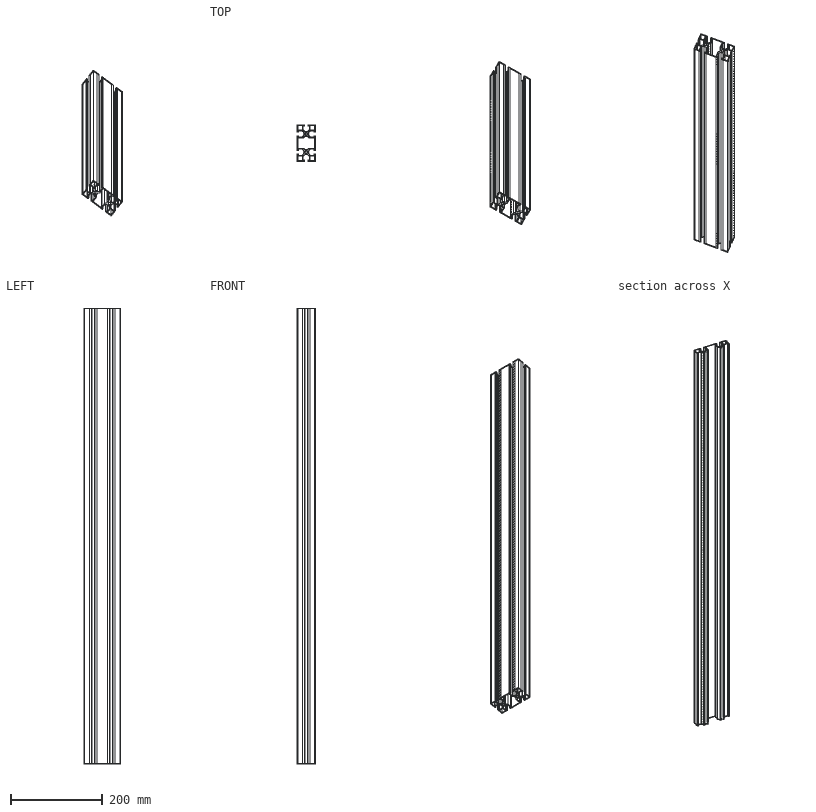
import cadquery as cq

MODULE = 40.0
LENGTH = 1000.0
WALL = 1.5
SLOT_MOUTH = 8.2
SLOT_INSIDE = 14.0
LIP = 2.8
CORE_DIAMETER = 11.0
BORE_DIAMETER = 5.0
WEB_OFFSET = 2.4
SLOT_FLOOR = 8.2

HALF = MODULE / 2
MOUTH = SLOT_MOUTH / 2
INSIDE = SLOT_INSIDE / 2
LIP_UNDERSIDE = HALF - LIP
HOLLOW_START = INSIDE + WALL
POCKET_SIZE = HALF - WALL - HOLLOW_START
POCKET_CENTER = HOLLOW_START + POCKET_SIZE / 2
CHAMBER_X = MODULE - 2 * WALL
CHAMBER_Y = 2 * (HALF - HOLLOW_START)


def valley(right_side):
    """Full-length prism that opens toward +Y from the V between two webs.

    right_side lists the outline points at positive X; the left side mirrors them.
    """
    left_side = [(-x, y) for x, y in reversed(right_side)]
    outline = [(0, WEB_OFFSET)] + right_side + left_side
    return cq.Workplane("XY").polyline(outline).close().extrude(LENGTH)


def slot():
    """T-slot opening toward +Y of a module centered on the Z axis."""
    return valley([
        (SLOT_FLOOR - WEB_OFFSET, SLOT_FLOOR),
        (INSIDE, SLOT_FLOOR),
        (INSIDE, LIP_UNDERSIDE),
        (MOUTH, LIP_UNDERSIDE),
        (MOUTH, HALF),
    ])


def chamber_recess():
    """Space between two webs that widens the middle chamber toward the core."""
    return valley([(HOLLOW_START - WEB_OFFSET, HOLLOW_START)])


def cylinder(diameter):
    """Full-length cylinder on the Z axis."""
    return cq.Workplane("XY").circle(diameter / 2).extrude(LENGTH)


def corner_pockets():
    """Square hollows in the two +Y corners of a module."""
    centers = [(side * POCKET_CENTER, POCKET_CENTER) for side in (-1, 1)]
    return (
        cq.Workplane("XY")
        .pushPoints(centers)
        .rect(POCKET_SIZE, POCKET_SIZE)
        .extrude(LENGTH)
    )


def module_voids():
    """All hollows of the +Y module, moved to its place in the bar."""
    z_axis = ((0, 0, 0), (0, 0, 1))
    voids = slot()
    for angle in (90, -90):
        voids = voids.union(slot().rotate(*z_axis, angle))
    voids = voids.union(chamber_recess().rotate(*z_axis, 180))
    voids = voids.cut(cylinder(CORE_DIAMETER))
    voids = voids.union(cylinder(BORE_DIAMETER))
    voids = voids.union(corner_pockets())
    return voids.translate((0, HALF, 0))


bar = cq.Workplane("XY").rect(MODULE, 2 * MODULE).extrude(LENGTH)
middle_chamber = cq.Workplane("XY").rect(CHAMBER_X, CHAMBER_Y).extrude(LENGTH)
back_voids = module_voids()
front_voids = back_voids.mirror("XZ")

result = bar.cut(middle_chamber).cut(back_voids).cut(front_voids)